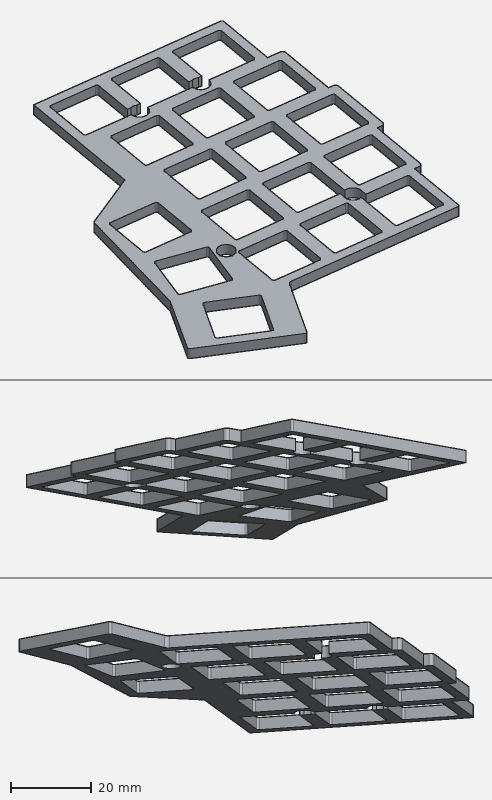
import cadquery as cq
import math

thickness = 3.1
key_pitch = 19.0
key_size = 15.0
key_corner_radius = 0.6
border = 2.8
rows = 3
column_offsets = [0, 4.9, 7.3, 4.9, 2.4]
rib = key_pitch - key_size

field_height = rows * key_pitch - rib + 2 * border
field_width = len(column_offsets) * key_pitch - rib + 2 * border
step_radius = 1.0
corner_radius = 0.6
inner_radius = 1.2
field_bottom_end = (38.4, 0)
thumb_lower_left = (47.8, -16.6)
thumb_bottom_bend = (85.5, -20.5)

overall_length = 116.1
overall_depth = 94.4
tip_angle = 24
tilt_radians = math.radians(tip_angle)
rounding_loss = corner_radius * (math.cos(tilt_radians) + math.sin(tilt_radians) - 1)
tip_top = (overall_length + rounding_loss, -0.7)
tip_bottom_y = field_height + max(column_offsets) - overall_depth - rounding_loss
tip_bottom = (
    tip_top[0] - (tip_top[1] - tip_bottom_y) * math.tan(tilt_radians),
    tip_bottom_y,
)

thumb_keys = [(57.9, -6.4, 0), (78.7, -8.4, 12), (100.5, -10.6, tip_angle)]

screw_diameter = 5.0
lower_screw_y = 3.1
rib_end_x = 15.5


def column_left(column):
    """Left edge of the key openings in a column."""
    return border + column * key_pitch


def key_opening(x, y, tilt=0):
    """Cutter for one rounded square opening, turned clockwise by tilt."""
    block = cq.Workplane("XY").box(key_size, key_size, thickness, centered=(True, True, False))
    block = block.edges("|Z").fillet(key_corner_radius)
    return block.rotate((0, 0, 0), (0, 0, 1), -tilt).translate((x, y, 0))


def round_corners(body, points, radius):
    """Fillet the upright edges that stand at the given outline points."""
    for x, y in points:
        body = body.edges(cq.selectors.NearestToPointSelector((x, y, thickness / 2))).fillet(radius)
    return body


def plate():
    tops = [field_height + offset for offset in column_offsets]
    steps = [column_left(column) - border for column in (1, 2)]
    steps += [column_left(column) + key_size + border for column in (2, 3)]

    tip_edge_rise = (tip_top[0] - field_width) * math.tan(tilt_radians)
    field_right_end = (field_width, tip_top[1] + tip_edge_rise)

    outline = [(0, 0), (0, tops[0])]
    for step, left_top, right_top in zip(steps, tops, tops[1:]):
        outline += [(step, left_top), (step, right_top)]
    outline += [(field_width, tops[-1]), field_right_end, tip_top, tip_bottom]
    outline += [thumb_bottom_bend, thumb_lower_left, field_bottom_end]
    body = cq.Workplane("XY").polyline(outline).close().extrude(thickness)

    step_corners = [(steps[0], tops[1]), (steps[1], tops[2]), (steps[2], tops[2]), (steps[3], tops[3])]
    body = round_corners(body, step_corners, step_radius)
    end_corners = [(0, tops[0]), (field_width, tops[-1]), tip_top, tip_bottom, thumb_lower_left]
    body = round_corners(body, end_corners, corner_radius)
    return round_corners(body, [field_right_end], inner_radius)


def cut_keys(body):
    for column, offset in enumerate(column_offsets):
        for row in range(rows):
            x = column_left(column) + key_size / 2
            y = border + offset + row * key_pitch + key_size / 2
            body = body.cut(key_opening(x, y))
    for x, y, tilt in thumb_keys:
        body = body.cut(key_opening(x, y, tilt))
    return body


def cut_screw_holes(body):
    rib_bottoms = [border + row * key_pitch + key_size for row in range(rows - 1)]
    left_x = column_left(0) + key_size
    right_x = column_left(4) - rib / 2
    right_y = rib_bottoms[1] + rib / 2 + (column_offsets[3] + column_offsets[4]) / 2
    centres = [(left_x, bottom + rib / 2) for bottom in rib_bottoms]
    centres += [(right_x, right_y), (right_x, lower_screw_y)]
    holes = cq.Workplane("XY").pushPoints(centres).circle(screw_diameter / 2).extrude(thickness)
    body = body.cut(holes)

    for x, y in centres[:len(rib_bottoms)]:
        gap = cq.Workplane("XY").box(
            x - rib_end_x, screw_diameter, thickness, centered=(False, True, False)
        )
        body = body.cut(gap.translate((rib_end_x, y, 0)))

    key_edge_distance = rib / 2 - (column_offsets[3] - column_offsets[4]) / 2
    notch_width = rib / 2 + key_corner_radius
    notch_height = screw_diameter / 2 - key_edge_distance
    for side in (-1, 1):
        notch_x = right_x + side * notch_width / 2
        notch_y = right_y + side * (key_edge_distance + notch_height / 2)
        notch = cq.Workplane("XY").center(notch_x, notch_y).rect(notch_width, notch_height)
        body = body.cut(notch.extrude(thickness))
    return body


result = cut_screw_holes(cut_keys(plate()))